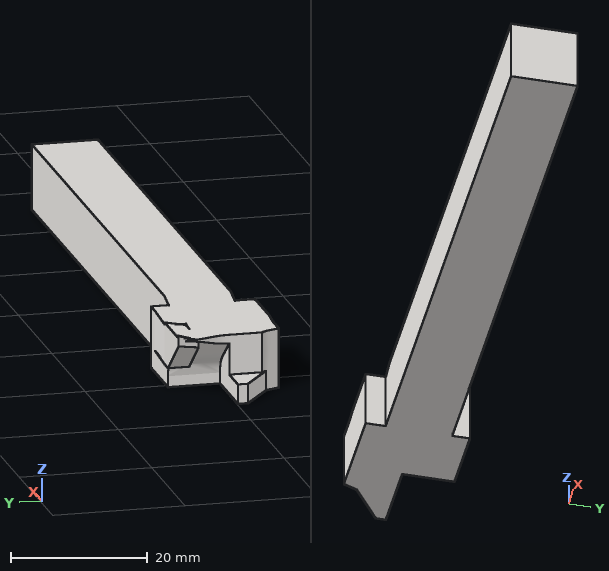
import cadquery as cq

total_length = 103.3
total_width = 16.0
shank_size = 10.0
shank_start_y = 3.0
shank_end_y = shank_start_y + shank_size

head_end_x = 21.0
head_back_y = 15.7
head_top_z = 9.4
front_floor_z = 9.1
floor_end_x = 9.4
ramp_end_x = 12.2
shoulder_start_x = 21.3
shoulder_end_x = 23.6

tooth_height = 3.0
tooth_back_y = 7.9
tooth_tip_width = 1.5
tooth_root_x = 5.2
tooth_root_y = 2.9
tooth_flank_end = (6.0, 2.0)
corner_land = (6.2, 1.0)
corner_x = 6.6
clearance_foot_z = 1.7
clearance_foot_x = 10.7
clearance_start_z = 9.3
clearance_bend = (8.3, 5.4)

blade_tip_x = 3.2
blade_inner_x = 3.9
blade_inner_y = 12.8
blade_end_x = 11.6
blade_tail_x = 18.6
blade_bottom_z = 3.3
blade_heel_x = 9.5
edge_bottom_z = 8.5
blade_back_z = 9.7
tip_length = 0.4


def extrude_y(profile, start_y, end_y):
    """Extrude a closed XZ profile between two Y positions."""
    return profile.extrude(start_y - end_y).translate((0, start_y, 0))


def make_shank():
    """Square bar with a sloped shoulder down to the head."""
    profile = (
        cq.Workplane("XZ")
        .moveTo(head_end_x, 0)
        .lineTo(total_length, 0)
        .lineTo(total_length, shank_size)
        .lineTo(shoulder_end_x, shank_size)
        .lineTo(shoulder_start_x, head_top_z)
        .lineTo(head_end_x, head_top_z)
        .close()
    )
    return extrude_y(profile, shank_start_y, shank_end_y)


def make_head():
    """Head with a hollow front face and a lowered strip along its top."""
    plan = (
        cq.Workplane("XY")
        .moveTo(corner_x, 0)
        .lineTo(head_end_x, 0)
        .lineTo(head_end_x, head_back_y)
        .lineTo(blade_tip_x, head_back_y)
        .lineTo(blade_inner_x, blade_inner_y)
        .spline([(tooth_root_x, tooth_back_y)], tangents=[(1, -4), (0, -1)], includeCurrent=True)
        .lineTo(tooth_root_x, tooth_root_y)
        .spline([corner_land], tangents=[(1, -1), (1, -3)], includeCurrent=True)
        .close()
        .extrude(head_top_z)
    )
    section = (
        cq.Workplane("XZ")
        .lineTo(0, front_floor_z)
        .lineTo(floor_end_x, front_floor_z)
        .tangentArcPoint((ramp_end_x, head_top_z), relative=False)
        .lineTo(head_end_x, head_top_z)
        .lineTo(head_end_x, 0)
        .close()
    )
    return plan.intersect(extrude_y(section, 0, head_back_y))


def make_clearance():
    """Hollow under the blade, sloping back and curving down to an upright foot."""
    bend_x, bend_z = clearance_bend
    slope = (bend_x - blade_tip_x, bend_z - clearance_start_z)
    profile = (
        cq.Workplane("XZ")
        .moveTo(0, 0)
        .lineTo(clearance_foot_x, 0)
        .lineTo(clearance_foot_x, clearance_foot_z)
        .spline([clearance_bend], tangents=[(0, 1), (-slope[0], -slope[1])], includeCurrent=True)
        .lineTo(blade_tip_x, clearance_start_z)
        .lineTo(0, clearance_start_z)
        .close()
    )
    return extrude_y(profile, tooth_back_y, total_width)


def make_tooth():
    """Pointed tooth projecting at the foot of the head."""
    return (
        cq.Workplane("XY")
        .moveTo(0, tooth_back_y)
        .lineTo(0, tooth_back_y - tooth_tip_width)
        .lineTo(*tooth_flank_end)
        .lineTo(corner_x, tooth_flank_end[1])
        .lineTo(corner_x, tooth_back_y)
        .close()
        .extrude(tooth_height)
    )


def make_blade_plan():
    """Upright block covering the blade's four-sided plan outline."""
    return (
        cq.Workplane("XY")
        .moveTo(blade_tip_x, total_width)
        .lineTo(blade_end_x, total_width)
        .lineTo(blade_end_x, blade_inner_y)
        .lineTo(blade_inner_x, blade_inner_y)
        .close()
        .extrude(shank_size)
    )


def make_blade_side():
    """Slanted underside of the blade, extruded across its width."""
    profile = (
        cq.Workplane("XZ")
        .moveTo(blade_tip_x, shank_size)
        .lineTo(blade_tip_x, edge_bottom_z)
        .lineTo(blade_heel_x, blade_bottom_z)
        .lineTo(blade_end_x, blade_bottom_z)
        .lineTo(blade_end_x, shank_size)
        .close()
    )
    return extrude_y(profile, blade_inner_y, total_width)


def make_blade_seat():
    """Space above the blade's bottom, cleared from the head where the blade sits."""
    return (
        cq.Workplane("XY", origin=(0, 0, blade_bottom_z))
        .rect(head_end_x, total_width, centered=False)
        .extrude(shank_size - blade_bottom_z)
    )


def make_blade_top(start_x, length, outer_z):
    """Wedge whose top falls inward from outer_z to the front floor."""
    return (
        cq.Workplane("YZ", origin=(start_x, 0, 0))
        .moveTo(blade_inner_y, 0)
        .lineTo(total_width, 0)
        .lineTo(total_width, outer_z)
        .lineTo(blade_inner_y, front_floor_z)
        .close()
        .extrude(length)
    )


def make_blade():
    """Side blade with a sloped top and a raised tip at its outer corner."""
    top = make_blade_top(blade_tip_x, blade_end_x - blade_tip_x, blade_back_z)
    tip = make_blade_top(blade_tip_x, tip_length, shank_size)
    return make_blade_plan().intersect(make_blade_side()).intersect(top.union(tip))


def make_blade_tail():
    """Thin bulge tapering from the blade into the back of the head."""
    return (
        cq.Workplane("XY", origin=(0, 0, blade_bottom_z))
        .moveTo(blade_end_x, total_width)
        .lineTo(blade_tail_x, head_back_y)
        .lineTo(blade_end_x, head_back_y)
        .close()
        .extrude(head_top_z - blade_bottom_z)
    )


head = make_head().cut(make_clearance()).cut(make_blade_plan().intersect(make_blade_seat()))
result = head.union(make_blade()).union(make_blade_tail()).union(make_tooth()).union(make_shank())